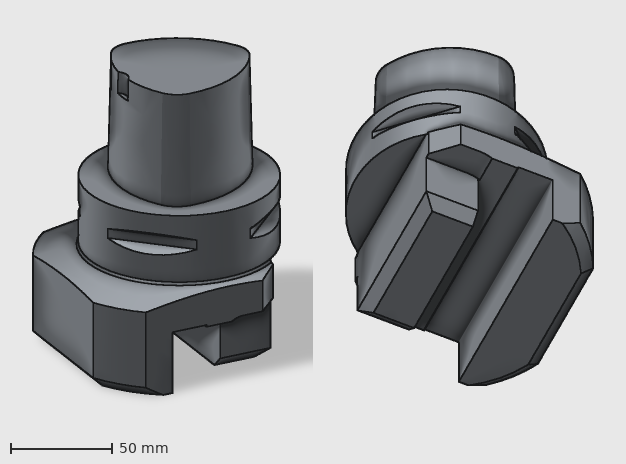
import cadquery as cq
import math


shank_height = 60.0
lobe_reach = 39.0
flat_reach = 33.0
lobe_radius = 15.6
shank_taper = 1.5
key_radius = 7.5
key_depth = 11.4
key_bottom_y = -29.0

flange_radius = 50.0
flange_height = 36.0
groove_floor_distance = 44.3
groove_floor_height = 5.0
groove_center_z = -16.1
groove_flank_angle = 30.0

body_half_width = 55.0
body_front_y = -64.87
body_back_y = 30.0
body_bottom_z = -90.0
body_corner_radius = 72.5
back_corner_chamfer = 12.0
bottom_chamfer = 6.0
neck_height = 1.2
neck_flare = 0.9
shoulder_angle = 15.0

slot_back_y = 1.8
slot_width = 34.0
slot_ceiling_z = -58.0
slot_relief_width = 18.9
slot_relief_depth = 1.0
slot_corner_radius = 0.6

jaw_half_width = 40.4
undercut_z = -56.0
undercut_corner_radius = 12.0
undercut_start_y = 7.5

pin_diameter = 8.5
pin_length = 2.2
pin_chamfer_length = 1.1
pin_chamfer_depth = 0.25
pin_z = -73.9

slot_front_y = slot_back_y - slot_width
overrun = 5.0


def polar_point(distance, angle):
    radians = math.radians(angle)
    return distance * math.cos(radians), distance * math.sin(radians)


def make_shank():
    """Six tangent arcs, three lobes and three flats, extruded with an even taper."""
    lobe_center = lobe_reach - lobe_radius
    flat_excess = flat_reach - lobe_radius
    flat_center = (lobe_center**2 - flat_excess**2) / (2 * flat_excess - lobe_center)
    joint_angle = math.degrees(
        math.atan2(
            flat_center * math.sin(math.radians(60)),
            lobe_center + flat_center * math.cos(math.radians(60)),
        )
    )

    def joint(lobe_angle, side):
        center_x, center_y = polar_point(lobe_center, lobe_angle)
        offset_x, offset_y = polar_point(lobe_radius, lobe_angle + side * joint_angle)
        return center_x + offset_x, center_y + offset_y

    outline = cq.Workplane("XY").moveTo(*joint(90, -1))
    for lobe_angle in (90, 210, 330):
        outline = outline.threePointArc(polar_point(lobe_reach, lobe_angle), joint(lobe_angle, 1))
        next_lobe = lobe_angle + 120
        outline = outline.threePointArc(
            polar_point(flat_reach, lobe_angle + 60), joint(next_lobe, -1)
        )
    taper_angle = math.degrees(math.atan(shank_taper / shank_height))
    shank = outline.close().extrude(shank_height, taper=taper_angle)
    keyway = (
        cq.Workplane("XY", origin=(0, key_bottom_y - key_radius, shank_height - key_depth))
        .circle(key_radius)
        .extrude(key_depth + overrun)
    )
    return shank.cut(keyway)


def make_flange():
    flange = cq.Workplane("XY").circle(flange_radius).extrude(-flange_height)
    depth = flange_radius - groove_floor_distance + overrun
    half_floor = groove_floor_height / 2
    half_mouth = half_floor + depth * math.tan(math.radians(groove_flank_angle))
    groove = (
        cq.Workplane("XZ", origin=(groove_floor_distance, 0, groove_center_z))
        .moveTo(0, -half_floor)
        .lineTo(depth, -half_mouth)
        .lineTo(depth, half_mouth)
        .lineTo(0, half_floor)
        .close()
        .extrude(flange_radius, both=True)
    )
    for angle in (45, 135, 225, 315):
        flange = flange.cut(groove.rotate((0, 0, 0), (0, 0, 1), angle))
    return flange


def make_body():
    """Block outline trimmed by a turned profile: flared neck, sloped shoulder, bottom chamfer."""
    block = (
        cq.Workplane("XY", origin=(0, 0, body_bottom_z))
        .moveTo(-body_half_width, body_front_y)
        .lineTo(body_half_width, body_front_y)
        .lineTo(body_half_width, body_back_y)
        .lineTo(-body_half_width, body_back_y)
        .close()
        .extrude(-body_bottom_z - flange_height)
        .edges("|Z and >Y")
        .chamfer(back_corner_chamfer)
        .faces("<Y")
        .edges("<Z")
        .chamfer(bottom_chamfer)
    )
    shoulder = math.radians(shoulder_angle)
    shoulder_drop = (body_corner_radius - flange_radius) * math.tan(shoulder)
    flare_bottom_radius = flange_radius + neck_flare
    flare_bottom_z = -flange_height - neck_height - neck_flare * math.tan(shoulder)
    turned = (
        cq.Workplane("XZ")
        .moveTo(0, -flange_height)
        .lineTo(flange_radius, -flange_height)
        .lineTo(flare_bottom_radius, flare_bottom_z)
        .lineTo(body_corner_radius, -flange_height - neck_height - shoulder_drop)
        .lineTo(body_corner_radius, body_bottom_z + bottom_chamfer)
        .lineTo(body_corner_radius - bottom_chamfer, body_bottom_z)
        .lineTo(0, body_bottom_z)
        .close()
        .revolve(360, (0, 0), (0, 1))
    )
    return block.intersect(turned)


def box_between(low, high):
    size = [b - a for a, b in zip(low, high)]
    return cq.Workplane("XY").box(*size, centered=False).translate(low)


def make_slot():
    reach = body_half_width + overrun
    bottom = body_bottom_z - overrun
    slot = box_between((-reach, slot_front_y, bottom), (reach, slot_back_y, slot_ceiling_z))
    relief = box_between(
        (-reach, slot_front_y, bottom),
        (reach, slot_front_y + slot_relief_width, slot_ceiling_z + slot_relief_depth),
    )
    relief = relief.edges("|X and >Z and <Y").fillet(slot_corner_radius)
    return slot.union(relief)


def make_undercut(side):
    """Clearance beside the rear jaw, on the side given by the sign of X."""
    front_y = undercut_start_y - undercut_corner_radius
    bottom = body_bottom_z - overrun
    near_x = side * jaw_half_width
    far_x = side * (body_half_width + overrun)
    clearance = box_between(
        (min(near_x, far_x), front_y, bottom),
        (max(near_x, far_x), body_back_y + overrun, undercut_z),
    )
    return clearance.edges("|X and >Z and <Y").fillet(undercut_corner_radius)


def make_jaw_chamfer_cutter():
    """Bottom edge chamfers on the sides and back of the rear jaw."""
    envelope_low = (-body_half_width, slot_back_y, body_bottom_z)
    envelope_high = (body_half_width, body_back_y, body_bottom_z + bottom_chamfer)
    jaw = box_between(
        (-jaw_half_width, slot_back_y, body_bottom_z),
        (jaw_half_width, body_back_y, undercut_z),
    )
    jaw = jaw.faces("<Z").edges("not <Y").chamfer(bottom_chamfer)
    return box_between(envelope_low, envelope_high).cut(jaw)


def make_pin():
    taper_angle = math.degrees(math.atan(pin_chamfer_depth / pin_chamfer_length))
    return (
        cq.Workplane("XZ", origin=(0, slot_back_y, pin_z))
        .circle(pin_diameter / 2)
        .extrude(pin_length - pin_chamfer_length)
        .faces("<Y")
        .workplane()
        .circle(pin_diameter / 2)
        .extrude(pin_chamfer_length, taper=taper_angle)
    )


body = make_body().cut(make_slot())
for side in (-1, 1):
    body = body.cut(make_undercut(side))
body = body.cut(make_jaw_chamfer_cutter()).union(make_pin())

result = make_flange().union(make_shank()).union(body)